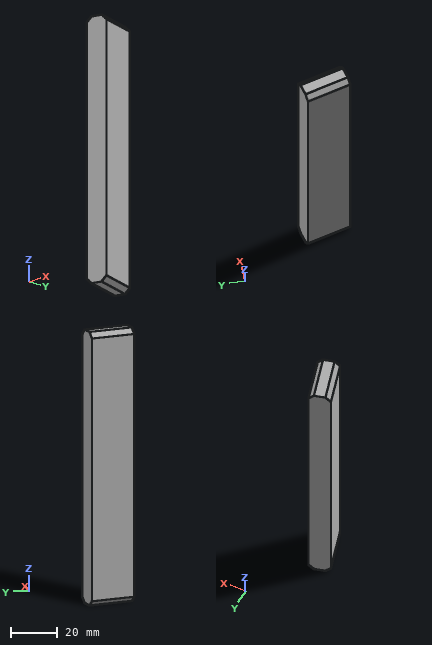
import cadquery as cq

height = 120.0
width = 20.0
thickness = 9.8
turn_angle = 15.0
end_chamfer = 2.4

bar = cq.Workplane("XY").box(thickness, width, height)

bar = bar.faces("<Z or >Z").edges("|Y").chamfer(end_chamfer)

result = bar.rotate((0, 0, 0), (0, 0, 1), turn_angle)